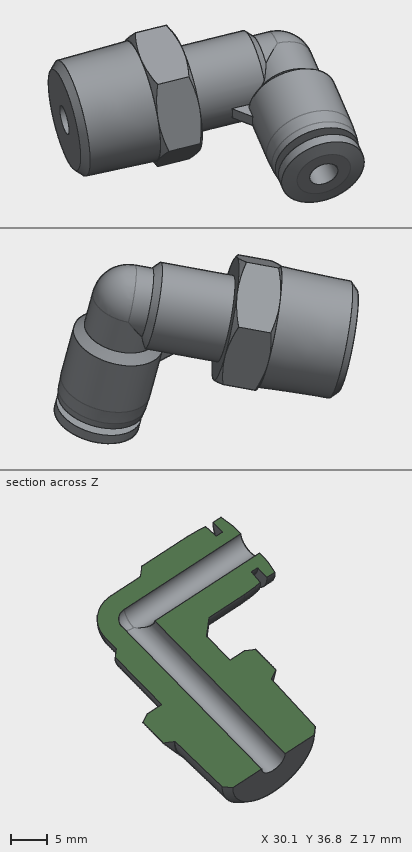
import cadquery as cq
import math


overall_length_x = 30.1

elbow_radius = 5.0
bore_radius = 2.02

end_y = -30.5
end_chamfer = 1.03
thread_end_radius = 8.12
thread_root_radius = 8.4
nut_bottom_y = -19.5
nut_top_y = -13.52
stem_radius = 6.0
stem_shoulder_y = -3.4
stem_chamfer = stem_radius - elbow_radius

across_flats = 17.0
corner_radius = across_flats / math.sqrt(3)
nut_height = nut_top_y - nut_bottom_y
nut_chamfer_angle = math.radians(30)
nut_chamfer_height = (corner_radius - across_flats / 2) * math.tan(nut_chamfer_angle)

collar_radius = 6.25
collar_start_x = 5.1
collar_chamfer = collar_radius - elbow_radius
taper_start_x = 14.3
taper_end_x = 16.3
taper_end_radius = 6.15
collar_end_x = 17.3
collar_face_x = 17.45
collar_end_radius = 6.0
neck_radius = 3.85
ring_radius = 5.9
ring_start_x = 18.5
ring_edge_x = 19.92
ring_face_radius = 3.82
outlet_end_x = overall_length_x - corner_radius

rib_thickness = 1.85
rib_reach = 2.15


def revolve_about_y(points):
    """Solid of revolution from (radius, y) points, closed along the Y axis."""
    profile = [(0, points[0][1])] + points + [(0, points[-1][1])]
    return cq.Workplane("XY").polyline(profile).close().revolve(360, (0, 0), (0, 1))


def revolve_about_x(points):
    """Solid of revolution from (x, radius) points, closed along the X axis."""
    profile = [(points[0][0], 0)] + points + [(points[-1][0], 0)]
    return cq.Workplane("XY").polyline(profile).close().revolve(360, (0, 0), (1, 0))


def make_stem():
    """Tapered thread envelope and the round stem up to the elbow."""
    return revolve_about_y([
        (thread_end_radius - end_chamfer, end_y),
        (thread_end_radius, end_y + end_chamfer),
        (thread_root_radius, nut_bottom_y),
        (stem_radius, nut_bottom_y),
        (stem_radius, stem_shoulder_y),
        (elbow_radius, stem_shoulder_y + stem_chamfer),
        (elbow_radius, 0),
    ])


def make_nut():
    """Hexagon with corners on +X and -X, bevelled at both ends."""
    hexagon = (
        cq.Workplane("XZ", origin=(0, nut_top_y, 0))
        .polygon(6, 2 * corner_radius)
        .extrude(nut_height)
    )
    bevel = revolve_about_y([
        (across_flats / 2, nut_bottom_y),
        (corner_radius, nut_bottom_y + nut_chamfer_height),
        (corner_radius, nut_top_y - nut_chamfer_height),
        (across_flats / 2, nut_top_y),
    ])
    return hexagon.intersect(bevel)


def make_outlet():
    """Outlet arm, collar, neck and release ring."""
    return revolve_about_x([
        (0, elbow_radius),
        (collar_start_x, elbow_radius),
        (collar_start_x + collar_chamfer, collar_radius),
        (taper_start_x, collar_radius),
        (taper_end_x, taper_end_radius),
        (collar_end_x, collar_end_radius),
        (collar_face_x, neck_radius),
        (ring_start_x, neck_radius),
        (ring_start_x, ring_radius),
        (ring_edge_x, ring_radius),
        (outlet_end_x, ring_face_radius),
    ])


def make_rib():
    """Triangular rib in the inner corner between stem and collar."""
    corner = (stem_radius, -collar_radius)
    profile = [
        (0, corner[1] - rib_reach),
        (corner[0], corner[1] - rib_reach),
        (corner[0] + rib_reach, corner[1]),
        (corner[0] + rib_reach, 0),
        (0, 0),
    ]
    return cq.Workplane("XY").polyline(profile).close().extrude(rib_thickness / 2, both=True)


def make_bore():
    """Flow passage from the threaded end, round the elbow and out of the ring."""
    inlet = cq.Workplane("XZ").circle(bore_radius).extrude(-end_y)
    outlet = cq.Workplane("YZ").circle(bore_radius).extrude(outlet_end_x)
    return inlet.union(outlet).union(cq.Workplane("XY").sphere(bore_radius))


elbow = cq.Workplane("XY").sphere(elbow_radius)
body = make_stem().union(make_outlet()).union(elbow).union(make_nut()).union(make_rib())
result = body.cut(make_bore())